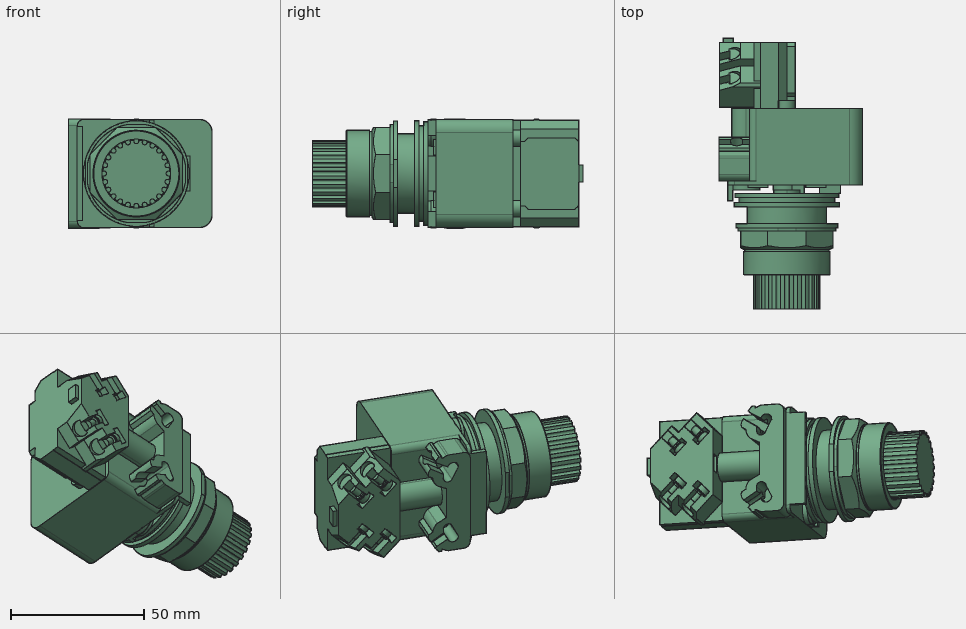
import cadquery as cq
import math


OVERALL_LENGTH = 101.8
COLLAR_FRONT = 12.7
COLLAR_BACK = 22.4
NUT_BACK = 29.2
LOCK_RING_BACK = 30.5
FRONT_FLANGE_BACK = 32.1
NECK_BACK = 38.4
MIDDLE_FLANGE_BACK = 40.1
GROOVE_BACK = 41.9
OPERATOR_BACK = 43.5
HOUSING_FRONT = 46.5
FRONT_PLATE_BACK = 48.1
HOUSING_BACK = 75.4
BLOCK_BACK = 100.2

KNOB_RADIUS = 12.5
FLUTE_COUNT = 24
FLUTE_RADIUS = 0.9
FLUTE_CENTER_RADIUS = 12.1
KNOB_CLEARANCE = 0.4
CLEARANCE_DEPTH = 1.0
COLLAR_RADIUS = 16.3
RELIEF_RADIUS = 15.9
RELIEF_FRONT = 21.6
COLLAR_EDGE = 0.3
NUT_ACROSS_FLATS = 34.7
NUT_CORNER_CHAMFER = 1.4
LOCK_RING_RADIUS = 18.7
LOCK_RING_FLAT = 18.4
FRONT_FLANGE_RADIUS = 19.9
FRONT_FLANGE_FLAT = 19.1
NECK_RADIUS = 15.0
MIDDLE_FLANGE_RADIUS = 19.9
GROOVE_RADIUS = 18.0
BACK_FLANGE_RADIUS = 19.6

HOUSING_LEFT = -14.1
HOUSING_RIGHT = 28.5
HOUSING_HALF_HEIGHT = 20.4
LEFT_EDGE_RADIUS = 2.5
RIGHT_EDGE_RADIUS = 4.9
PLATE_LEFT = -22.2
FOOT_THICKNESS = 1.9
FOOT_FRONT = 40.6
FOOT_HALF_HEIGHT = 17.6
BOSS_RADIUS = 5.2
BOSS_PITCH_RADIUS = 15.3
BOSS_STEP = 44.7
BOSS_TIP_RADIUS = 5.0
PAD_NEAR, PAD_FAR = 7.0, 14.7
PAD_TOP = 12.7
PAD_THICKNESS = 0.9
LUG_LEFT, LUG_RIGHT = 5.0, 6.6
LUG_BOTTOM, LUG_TOP = 14.3, 20.1
SIDE_TAB_LEFT, SIDE_TAB_RIGHT = 12.2, 20.3
SIDE_TAB_HALF_HEIGHT = 6.6
RIB_CENTER_X = -15.4
RIB_RADIUS = 5.4

BRACKET_LEFT = -25.6
BRACKET_HALF_HEIGHT = 20.6
BRACKET_CORNER_RADIUS = 2.5
BRACKET_WAIST_Y = 57.5
CLAMP_BORE_RADIUS = 2.7
CLAMP_BORE_X = -18.8
CLAMP_BORE_LENGTH = 12.2
CLAMP_BORE_START = (55.4, 12.7)
CLAMP_BORE_ANGLE = 30.0

BLOCK_LEFT = -25.4
RAMP_END = -17.4
LEDGE_LEFT = -12.4
SLAB_LEFT = -10.0
SLAB_HALF_HEIGHT = 20.1
LEDGE_DROP = 0.2
RIB_TOP = 20.5
SLOPE_LEFT, SLOPE_RIGHT = -3.2, 0.1
SLOPE_DROP = 3.3
SHOULDER_DROP = 6.6
SHOULDER_CHAMFER = 1.5
SHELF_DROP = 1.3
SHELF_BACK = 79.9
SLAB_RIGHT = 3.3
SLAB_STEP_Y = 78.3
POST_RADIUS = 3.2
POST_Z = 13.2
TERMINAL_FRONT = 75.8
TERMINAL_FRONT_HALF_HEIGHT = 12.7
TERMINAL_BACK_HALF_HEIGHT = 6.4
TOOTH_VALLEY_Y = 89.3
TOOTH_RISE = 2.6
RAMP_RISE = 3.0
PEG_LEFT, PEG_RIGHT = -23.9, -20.1
PEG_HALF_HEIGHT = 3.3
SOCKET_DEPTH = 4.6

TERMINAL_STATIONS = ((94.7, 11.9), (85.8, 15.6))
SCREW_X = -21.6
PLATE_X = -21.4
POCKET_FLOOR_X = -20.4
SHAFT_SLOT_HALF_WIDTH = 1.8
HEAD_SLOT_HALF_WIDTH = 3.3
PLATE_START, PLATE_END = -1.3, 2.1
WASHER_START = 5.6
HEAD_START, HEAD_END = 6.2, 9.0
HEAD_GAP = 0.5
SHAFT_RADIUS = 1.5
HEAD_RADIUS = 2.4
BORE_RADIUS = 3.1
BORE_X = -20.5

AXIS_Y = cq.Vector(0, 1, 0)


def box(x_range, y_range, z_range):
    """Axis-aligned box between the given limits."""
    (x0, x1), (y0, y1), (z0, z1) = x_range, y_range, z_range
    return cq.Workplane("XY").box(x1 - x0, y1 - y0, z1 - z0, centered=False).translate((x0, y0, z0))


def rod(radius, y0, y1, x=0.0, z=0.0):
    """Cylinder parallel to Y."""
    return cq.Workplane(cq.Solid.makeCylinder(radius, y1 - y0, cq.Vector(x, y0, z), AXIS_Y))


def with_mirror(shape):
    """Shape together with its mirror image below the XY plane."""
    return shape.union(shape.mirror("XY"))


def nut():
    """Octagonal nut whose front corners are turned off by a cone."""
    corner_radius = NUT_ACROSS_FLATS / 2 / math.cos(math.pi / 8)
    octagon = (
        cq.Workplane("XZ", origin=(0, COLLAR_BACK, 0))
        .polygon(8, 2 * corner_radius)
        .extrude(COLLAR_BACK - NUT_BACK)
        .rotate((0, 0, 0), (0, 1, 0), 180 / 8)
    )
    cone = (
        cq.Workplane("XY")
        .polyline([
            (0, COLLAR_BACK),
            (COLLAR_RADIUS, COLLAR_BACK),
            (corner_radius, COLLAR_BACK + NUT_CORNER_CHAMFER),
            (corner_radius, NUT_BACK),
            (0, NUT_BACK),
        ])
        .close()
        .revolve(360, (0, 0, 0), (0, 1, 0))
    )
    return octagon.intersect(cone)


def knob():
    """Knob with round-bottomed flutes along its whole rim."""
    body = rod(KNOB_RADIUS, 0, COLLAR_FRONT + CLEARANCE_DEPTH)
    for index in range(FLUTE_COUNT):
        angle = 2 * math.pi * index / FLUTE_COUNT
        x = FLUTE_CENTER_RADIUS * math.cos(angle)
        z = FLUTE_CENTER_RADIUS * math.sin(angle)
        body = body.cut(rod(FLUTE_RADIUS, 0, COLLAR_FRONT + CLEARANCE_DEPTH, x, z))
    return body


def make_operator():
    collar = rod(COLLAR_RADIUS, COLLAR_FRONT, RELIEF_FRONT).faces("<Y").chamfer(COLLAR_EDGE)
    collar = collar.cut(rod(KNOB_RADIUS + KNOB_CLEARANCE, COLLAR_FRONT, COLLAR_FRONT + CLEARANCE_DEPTH))

    lock_ring = rod(LOCK_RING_RADIUS, NUT_BACK, LOCK_RING_BACK).intersect(
        box(
            (-LOCK_RING_FLAT, LOCK_RING_FLAT),
            (NUT_BACK, LOCK_RING_BACK),
            (-LOCK_RING_FLAT, LOCK_RING_FLAT),
        )
    )
    front_flange = rod(FRONT_FLANGE_RADIUS, LOCK_RING_BACK, FRONT_FLANGE_BACK).intersect(
        box(
            (-FRONT_FLANGE_FLAT, FRONT_FLANGE_FLAT),
            (LOCK_RING_BACK, FRONT_FLANGE_BACK),
            (-FRONT_FLANGE_RADIUS, FRONT_FLANGE_RADIUS),
        )
    )
    return (
        collar.union(knob())
        .union(rod(RELIEF_RADIUS, RELIEF_FRONT, COLLAR_BACK))
        .union(nut())
        .union(lock_ring)
        .union(front_flange)
        .union(rod(NECK_RADIUS, FRONT_FLANGE_BACK, NECK_BACK))
        .union(rod(MIDDLE_FLANGE_RADIUS, NECK_BACK, MIDDLE_FLANGE_BACK))
        .union(rod(GROOVE_RADIUS, MIDDLE_FLANGE_BACK, GROOVE_BACK))
        .union(rod(BACK_FLANGE_RADIUS, GROOVE_BACK, OPERATOR_BACK))
    )


def rounded_case(left, y0, y1):
    """Case section along Y with small left corners and large right corners."""
    case = box((left, HOUSING_RIGHT), (y0, y1), (-HOUSING_HALF_HEIGHT, HOUSING_HALF_HEIGHT))
    case = case.edges("|Y and <X").fillet(LEFT_EDGE_RADIUS)
    return case.edges("|Y and >X").fillet(RIGHT_EDGE_RADIUS)


def front_bosses():
    """Round bosses, pads, lugs and a side tab that stand on the front face."""
    parts = box(
        (SIDE_TAB_LEFT, SIDE_TAB_RIGHT),
        (OPERATOR_BACK, HOUSING_FRONT),
        (-SIDE_TAB_HALF_HEIGHT, SIDE_TAB_HALF_HEIGHT),
    )
    parts = parts.union(rod(BOSS_RADIUS, BOSS_STEP, HOUSING_FRONT, -BOSS_PITCH_RADIUS))
    boss = rod(BOSS_RADIUS, BOSS_STEP, HOUSING_FRONT, z=BOSS_PITCH_RADIUS)
    boss = boss.union(rod(BOSS_TIP_RADIUS, OPERATOR_BACK, BOSS_STEP, z=BOSS_PITCH_RADIUS))
    lug = box((LUG_LEFT, LUG_RIGHT), (OPERATOR_BACK, HOUSING_FRONT), (LUG_BOTTOM, LUG_TOP))
    link = box((0, LUG_RIGHT), (BOSS_STEP, HOUSING_FRONT), (LUG_BOTTOM, LUG_TOP))
    right_pad = box((PAD_NEAR, PAD_FAR), (HOUSING_FRONT - PAD_THICKNESS, HOUSING_FRONT), (PAD_NEAR, PAD_TOP))
    pads = right_pad.union(right_pad.mirror("YZ"))
    return parts.union(with_mirror(boss.union(lug).union(link).union(pads)))


def bracket():
    """Clamp bracket: a plate across X with a hooked jaw at its top and bottom."""
    upper = (
        cq.Workplane("YZ", origin=(BRACKET_LEFT, 0, 0))
        .moveTo(FRONT_PLATE_BACK, 0)
        .lineTo(FRONT_PLATE_BACK, BRACKET_HALF_HEIGHT - BRACKET_CORNER_RADIUS)
        .radiusArc(
            (FRONT_PLATE_BACK + BRACKET_CORNER_RADIUS, BRACKET_HALF_HEIGHT), BRACKET_CORNER_RADIUS
        )
        .lineTo(56.7, BRACKET_HALF_HEIGHT)
        .lineTo(57.5, HOUSING_HALF_HEIGHT)
        .threePointArc((58.5, 19.9), (59.2, 19.6))
        .lineTo(59.4, HOUSING_HALF_HEIGHT)
        .lineTo(60.5, HOUSING_HALF_HEIGHT)
        .lineTo(61.9, 18.6)
        .lineTo(61.3, 17.9)
        .lineTo(56.9, 15.5)
        .threePointArc((54.8, 17.0), (52.8, 14.9))
        .lineTo(55.3, 9.9)
        .threePointArc((57.5, 9.2), (58.7, 10.9))
        .lineTo(58.6, 12.5)
        .lineTo(63.7, 15.7)
        .threePointArc((64.6, 14.2), (64.5, 12.5))
        .lineTo(62.8, 11.5)
        .threePointArc((62.3, 9.6), (61.1, 8.0))
        .lineTo(BRACKET_WAIST_Y, 6.2)
        .lineTo(BRACKET_WAIST_Y, 0)
        .close()
        .extrude(HOUSING_LEFT - BRACKET_LEFT)
    )
    angle = math.radians(CLAMP_BORE_ANGLE)
    bore = cq.Workplane(
        cq.Solid.makeCylinder(
            CLAMP_BORE_RADIUS,
            CLAMP_BORE_LENGTH,
            cq.Vector(CLAMP_BORE_X, *CLAMP_BORE_START),
            cq.Vector(0, math.cos(angle), math.sin(angle)),
        )
    )
    return with_mirror(upper.cut(bore))


def side_rib():
    """Half-round rib along the left face, from the bracket to the back."""
    flat_part = box(
        (RIB_CENTER_X, HOUSING_LEFT), (BRACKET_WAIST_Y, HOUSING_BACK), (-RIB_RADIUS, RIB_RADIUS)
    )
    return flat_part.union(rod(RIB_RADIUS, BRACKET_WAIST_Y, HOUSING_BACK, RIB_CENTER_X))


def make_housing():
    foot = box(
        (PLATE_LEFT, PLATE_LEFT + FOOT_THICKNESS),
        (FOOT_FRONT, FRONT_PLATE_BACK),
        (-FOOT_HALF_HEIGHT, FOOT_HALF_HEIGHT),
    )
    return (
        rounded_case(HOUSING_LEFT, HOUSING_FRONT, HOUSING_BACK)
        .union(rounded_case(PLATE_LEFT, HOUSING_FRONT, FRONT_PLATE_BACK))
        .union(foot)
        .union(front_bosses())
        .union(bracket())
        .union(side_rib())
    )


def terminal_outline(rise):
    """Saw-toothed outline in Y and Z, with its sloping facets raised by the given amount."""
    shift = rise / math.sqrt(2)
    back_z = TERMINAL_BACK_HALF_HEIGHT
    valley_z = back_z + BLOCK_BACK - TOOTH_VALLEY_Y - 2 * TOOTH_RISE
    facet_sum = TOOTH_VALLEY_Y + valley_z + 2 * shift
    chamfer_difference = TERMINAL_FRONT_HALF_HEIGHT - TERMINAL_FRONT
    upper = [
        (BLOCK_BACK, back_z + 2 * shift),
        (TOOTH_VALLEY_Y + TOOTH_RISE + shift, valley_z + TOOTH_RISE + shift),
        (TOOTH_VALLEY_Y + shift, valley_z + shift),
        ((facet_sum - chamfer_difference) / 2, (facet_sum + chamfer_difference) / 2),
        (TERMINAL_FRONT, TERMINAL_FRONT_HALF_HEIGHT),
    ]
    lower = [(y, -z) for y, z in reversed(upper)]
    return upper + lower


def terminal_body():
    """Saw-toothed body whose facets rise from the left face, then run level to the slab."""
    ramp = (
        cq.Workplane("YZ", origin=(BLOCK_LEFT, 0, 0))
        .polyline(terminal_outline(0))
        .close()
        .workplane(offset=RAMP_END - BLOCK_LEFT)
        .polyline(terminal_outline(RAMP_RISE))
        .close()
        .loft(ruled=True)
    )
    level = (
        cq.Workplane("YZ", origin=(RAMP_END, 0, 0))
        .polyline(terminal_outline(RAMP_RISE))
        .close()
        .extrude(SLAB_LEFT - RAMP_END)
    )
    limits = box((BLOCK_LEFT, SLAB_LEFT), (HOUSING_BACK, BLOCK_BACK), (-RIB_TOP, RIB_TOP))
    return ramp.union(level).intersect(limits)


def slab():
    """Full-height slab with a low ledge on its left and a slope and a shoulder on its right."""
    slope_z = SLAB_HALF_HEIGHT - SLOPE_DROP
    shoulder_z = SLAB_HALF_HEIGHT - SHOULDER_DROP
    ledge_z = SLAB_HALF_HEIGHT - LEDGE_DROP
    ledge = box((LEDGE_LEFT, SLAB_LEFT), (HOUSING_BACK, BLOCK_BACK), (-ledge_z, ledge_z))
    core = box(
        (SLAB_LEFT, SLOPE_LEFT), (HOUSING_BACK, BLOCK_BACK), (-SLAB_HALF_HEIGHT, SLAB_HALF_HEIGHT)
    )
    slope = (
        cq.Workplane("XZ", origin=(0, BLOCK_BACK, 0))
        .polyline([
            (SLOPE_LEFT, SLAB_HALF_HEIGHT),
            (SLOPE_RIGHT, slope_z),
            (SLOPE_RIGHT, -slope_z),
            (SLOPE_LEFT, -SLAB_HALF_HEIGHT),
        ])
        .close()
        .extrude(BLOCK_BACK - SLAB_STEP_Y)
    )
    upper_outline = [
        (SLAB_STEP_Y, shoulder_z - SHELF_DROP),
        (SHELF_BACK, shoulder_z - SHELF_DROP),
        (SHELF_BACK + SHELF_DROP, shoulder_z),
        (BLOCK_BACK - SHOULDER_CHAMFER, shoulder_z),
        (BLOCK_BACK, shoulder_z - SHOULDER_CHAMFER),
    ]
    lower_outline = [(y, -z) for y, z in reversed(upper_outline)]
    shoulder = (
        cq.Workplane("YZ", origin=(SLOPE_RIGHT, 0, 0))
        .polyline(upper_outline + lower_outline)
        .close()
        .extrude(SLAB_RIGHT - SLOPE_RIGHT)
    )
    post = rod(POST_RADIUS, HOUSING_BACK, SLAB_STEP_Y, SLOPE_RIGHT, POST_Z)
    return core.union(ledge).union(slope).union(shoulder).union(with_mirror(post))


def inward_plane(y, z, x):
    """Plane whose normal points down and forward at 45 degrees and whose first axis is X."""
    return cq.Plane(origin=(x, y, z), xDir=(1, 0, 0), normal=(0, -1, -1))


def slot(y, z, floor_x, half_width, start, end):
    """Slot cut in from the left face, running inward along a terminal axis."""
    depth = floor_x - BLOCK_LEFT
    return (
        cq.Workplane(inward_plane(y, z, BLOCK_LEFT + depth / 2))
        .workplane(offset=start)
        .rect(depth, 2 * half_width)
        .extrude(end - start)
    )


def shank(y, z, x, radius, start, end):
    """Cylinder along a terminal axis."""
    return cq.Workplane(inward_plane(y, z, x)).workplane(offset=start).circle(radius).extrude(end - start)


def cut_terminal(body, y, z):
    """Sink a bore and a T-shaped pocket holding a headed screw into the body."""
    pocket = (
        shank(y, z, BORE_X, BORE_RADIUS, -RAMP_RISE, PLATE_START)
        .union(slot(y, z, BORE_X, SHAFT_SLOT_HALF_WIDTH, -RAMP_RISE, PLATE_START))
        .union(slot(y, z, PLATE_X, SHAFT_SLOT_HALF_WIDTH, PLATE_START, PLATE_END))
        .union(slot(y, z, POCKET_FLOOR_X, SHAFT_SLOT_HALF_WIDTH, PLATE_END, HEAD_START))
        .union(slot(y, z, POCKET_FLOOR_X, HEAD_SLOT_HALF_WIDTH, HEAD_START, HEAD_END))
    )
    washer = slot(y, z, POCKET_FLOOR_X, SHAFT_SLOT_HALF_WIDTH, WASHER_START, HEAD_START).intersect(
        shank(y, z, SCREW_X, HEAD_RADIUS, WASHER_START, HEAD_START)
    )
    shaft = shank(y, z, SCREW_X, SHAFT_RADIUS, PLATE_END, WASHER_START)
    head = shank(y, z, SCREW_X, HEAD_RADIUS, HEAD_START + HEAD_GAP, HEAD_END)
    screw = shaft.union(washer).union(head)
    return body.cut(with_mirror(pocket.cut(screw)))


def make_contact_block():
    body = terminal_body()
    for y, z in TERMINAL_STATIONS:
        body = cut_terminal(body, y, z)
    peg = box((PEG_LEFT, PEG_RIGHT), (BLOCK_BACK, OVERALL_LENGTH), (-PEG_HALF_HEIGHT, PEG_HALF_HEIGHT))
    socket = box(
        (PEG_LEFT, PEG_RIGHT),
        (TERMINAL_FRONT, TERMINAL_FRONT + SOCKET_DEPTH),
        (-PEG_HALF_HEIGHT, PEG_HALF_HEIGHT),
    )
    return body.union(slab()).union(peg).cut(socket)


operator = make_operator()
housing = make_housing()
contact_block = make_contact_block()

result = cq.Compound.makeCompound([*operator.vals(), *housing.vals(), *contact_block.vals()])